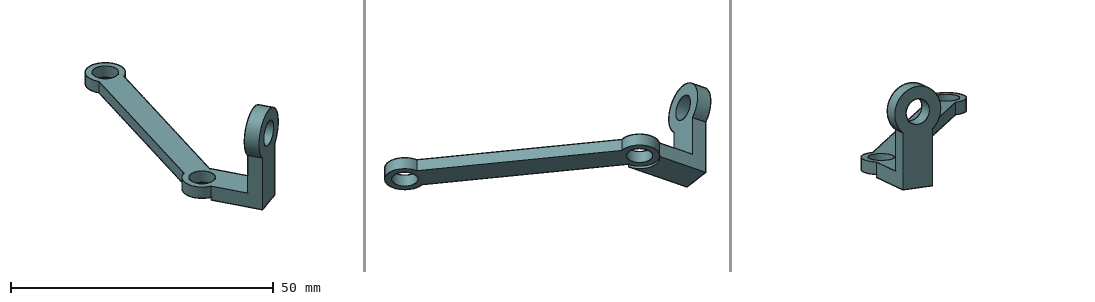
import cadquery as cq

arm_length = 45.5
arm_offset = 0.1
arm_width = 5.2
arm_thickness = 2.5
ring_diameter = 7.7
hole_diameter = 5.0

bracket_angle = 44.3
bracket_reach = 13.4
bracket_offset = 0.6
bracket_width = 6.45
foot_thickness = 3.05
upright_thickness = 3.05
eye_diameter = 10.0
total_height = 20.0

arm_bottom = foot_thickness - arm_thickness
eye_height = total_height - eye_diameter / 2
ring_centres = [(0, 0), (-arm_length, arm_offset)]


def vertical_cylinders(centres, diameter, bottom, height):
    return cq.Workplane("XY", origin=(0, 0, bottom)).pushPoints(centres).circle(diameter / 2).extrude(height)


def make_arm():
    bar = (
        cq.Workplane("XY", origin=(-arm_length / 2, arm_offset, arm_bottom))
        .rect(arm_length, arm_width)
        .extrude(arm_thickness)
    )
    return bar.union(vertical_cylinders(ring_centres, ring_diameter, arm_bottom, arm_thickness))


def make_bracket():
    """Foot and upright eye, built along X and then turned about the elbow."""
    foot = (
        cq.Workplane("XY", origin=(bracket_reach / 2, bracket_offset, 0))
        .rect(bracket_reach, bracket_width)
        .extrude(foot_thickness)
    )
    upright_face = cq.Workplane("YZ", origin=(bracket_reach - upright_thickness, bracket_offset, 0))
    post = upright_face.center(0, eye_height / 2).rect(bracket_width, eye_height).extrude(upright_thickness)
    eye_face = cq.Workplane("YZ", origin=(bracket_reach - upright_thickness, bracket_offset, eye_height))
    eye = eye_face.circle(eye_diameter / 2).extrude(upright_thickness)
    eye_hole = eye_face.circle(hole_diameter / 2).extrude(upright_thickness)
    bracket = foot.union(post).union(eye).cut(eye_hole)
    bracket = bracket.cut(vertical_cylinders([(0, 0)], ring_diameter, 0, arm_bottom))
    return bracket.rotate((0, 0, 0), (0, 0, 1), bracket_angle)


ring_holes = vertical_cylinders(ring_centres, hole_diameter, 0, foot_thickness)
result = make_arm().union(make_bracket()).cut(ring_holes)